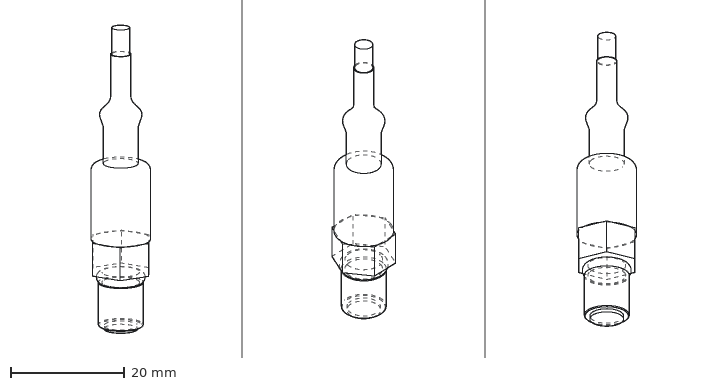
import cadquery as cq
import math

TOTAL_HEIGHT = 55.4
SPIGOT_TOP = 0.6
PLUG_TOP = 8.55
HEX_BOTTOM = 10.45
HEX_TOP = 16.5
BODY_TOP = 30.4
NECK_TOP = 37.0
STEM_BOTTOM = 42.9
STEM_TOP = 50.5

SPIGOT_RADIUS = 3.0
PLUG_RADIUS = 4.0
PLUG_CHAMFER = 0.15
BODY_DIAMETER = 10.6
BODY_RADIUS = BODY_DIAMETER / 2
BODY_FILLET = 1.3
NECK_RADIUS = 3.1
STEM_DIAMETER = 3.6
STEM_RADIUS = STEM_DIAMETER / 2
TIP_RADIUS = 1.6
HEX_ACROSS_FLATS = 9.95

RING_SECTION_RADIUS = (HEX_BOTTOM - PLUG_TOP) / 2
RING_OUTER_RADIUS = 4.3
RING_CENTER_RADIUS = RING_OUTER_RADIUS - RING_SECTION_RADIUS

BULGE_RADIUS = 3.75
BULGE_ARC_RADIUS = 1.35
BULGE_CENTER_Z = 39.4
UPPER_CONE_ANGLE = math.radians(45)
LOWER_CONE_ANGLE = math.radians(18)
STEM_BLEND_RADIUS = 2.3
NECK_BLEND_RADIUS = 1.05


def cylinder(radius, bottom, top):
    return cq.Workplane("XY").workplane(offset=bottom).circle(radius).extrude(top - bottom)


def arc_point(center, radius, angle):
    """Point (radius, height) on an arc; the angle is measured from the outward direction."""
    return (center[0] + radius * math.cos(angle), center[1] + radius * math.sin(angle))


def make_plug():
    spigot = cylinder(SPIGOT_RADIUS, 0, SPIGOT_TOP)
    plug = cylinder(PLUG_RADIUS, SPIGOT_TOP, PLUG_TOP).faces("<Z").chamfer(PLUG_CHAMFER)
    return spigot.union(plug)


def make_sealing_ring():
    core = cylinder(RING_CENTER_RADIUS, PLUG_TOP, HEX_BOTTOM)
    ring_height = (PLUG_TOP + HEX_BOTTOM) / 2
    ring = (
        cq.Workplane("XZ")
        .moveTo(RING_CENTER_RADIUS, ring_height)
        .circle(RING_SECTION_RADIUS)
        .revolve(360, (0, 0, 0), (0, 1, 0))
    )
    return core.union(ring)


def make_hexagon():
    across_corners = HEX_ACROSS_FLATS / math.cos(math.pi / 6)
    return (
        cq.Workplane("XY")
        .workplane(offset=HEX_BOTTOM)
        .transformed(rotate=(0, 0, 90))
        .polygon(6, across_corners)
        .extrude(HEX_TOP - HEX_BOTTOM)
    )


def make_body():
    return cylinder(BODY_RADIUS, HEX_TOP, BODY_TOP).faces(">Z").edges().fillet(BODY_FILLET)


def make_stem():
    """Neck, bulge, stem and tip turned from a single profile of (radius, height) points."""
    neck_center = (NECK_RADIUS + NECK_BLEND_RADIUS, NECK_TOP)
    bulge_center = (BULGE_RADIUS - BULGE_ARC_RADIUS, BULGE_CENTER_Z)
    stem_center = (STEM_RADIUS + STEM_BLEND_RADIUS, STEM_BOTTOM)

    neck_mid = arc_point(neck_center, NECK_BLEND_RADIUS, math.pi - LOWER_CONE_ANGLE / 2)
    neck_end = arc_point(neck_center, NECK_BLEND_RADIUS, math.pi - LOWER_CONE_ANGLE)
    bulge_start = arc_point(bulge_center, BULGE_ARC_RADIUS, -LOWER_CONE_ANGLE)
    bulge_mid = arc_point(bulge_center, BULGE_ARC_RADIUS, 0)
    bulge_end = arc_point(bulge_center, BULGE_ARC_RADIUS, UPPER_CONE_ANGLE)
    stem_start = arc_point(stem_center, STEM_BLEND_RADIUS, math.pi + UPPER_CONE_ANGLE)
    stem_mid = arc_point(stem_center, STEM_BLEND_RADIUS, math.pi + UPPER_CONE_ANGLE / 2)

    return (
        cq.Workplane("XZ")
        .moveTo(0, BODY_TOP)
        .lineTo(NECK_RADIUS, BODY_TOP)
        .lineTo(NECK_RADIUS, NECK_TOP)
        .threePointArc(neck_mid, neck_end)
        .lineTo(*bulge_start)
        .threePointArc(bulge_mid, bulge_end)
        .lineTo(*stem_start)
        .threePointArc(stem_mid, (STEM_RADIUS, STEM_BOTTOM))
        .lineTo(STEM_RADIUS, STEM_TOP)
        .lineTo(TIP_RADIUS, STEM_TOP)
        .lineTo(TIP_RADIUS, TOTAL_HEIGHT)
        .lineTo(0, TOTAL_HEIGHT)
        .close()
        .revolve(360, (0, 0, 0), (0, 1, 0))
    )


result = (
    make_plug()
    .union(make_sealing_ring())
    .union(make_hexagon())
    .union(make_body())
    .union(make_stem())
)